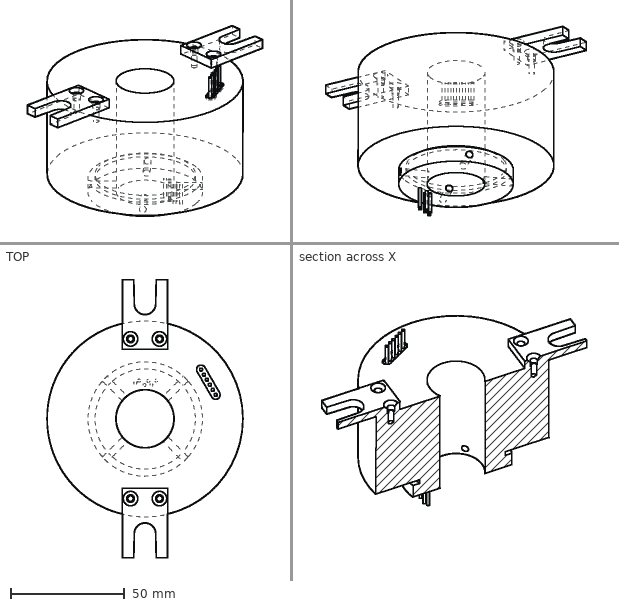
import cadquery as cq
import math

body_diameter = 86.0
body_height = 45.0
bore_diameter = 25.4

neck_diameter = 44.0
neck_height = 1.8
collar_diameter = 50.3
collar_height = 7.0
collar_bottom = -neck_height - collar_height
set_screw_diameter = 3.0
set_screw_count = 4
first_set_screw_angle = 45

overall_length = 122.0
plate_width = 19.8
plate_length = 30.5
plate_thickness = 4.1
plate_end = overall_length / 2
plate_center = plate_end - plate_length / 2
fork_mouth_width = 9.8
fork_root_radius = 4.6
fork_depth = 15.2
fork_root_center = plate_end - fork_depth + fork_root_radius

screw_spacing = 12.7
screw_position = 35.0
countersink_diameter = 6.3
countersink_angle = 90
clearance_diameter = 3.3
tapped_diameter = 2.5
tapped_depth = 6.1
drill_tip_angle = 118

pin_diameter = 1.3
pin_length = 9.0

upper_pin_count = 6
upper_pin_pitch = 2.6
upper_row_radius = 32.1
upper_row_angle = 30
recess_width = 3.9
recess_depth = 1.0

lower_pin_places = [(-4.4, 15.9), (-2.7, 16.8), (-0.4, 14.9), (1.3, 16.7), (2.7, 14.9), (4.9, 16.8)]


def cylinder(diameter, bottom, height):
    """Upright cylinder on the Z axis."""
    return cq.Workplane("XY").workplane(offset=bottom).circle(diameter / 2).extrude(height)


def drum():
    """Body, neck and collar with the bore through all of them."""
    turned = cylinder(body_diameter, 0, body_height)
    turned = turned.union(cylinder(neck_diameter, -neck_height, neck_height))
    turned = turned.union(cylinder(collar_diameter, collar_bottom, collar_height))
    return turned.cut(cylinder(bore_diameter, collar_bottom, body_height - collar_bottom))


def set_screw_holes():
    """Radial holes from the collar rim into the bore."""
    hole = (
        cq.Workplane("YZ")
        .center(0, collar_bottom + collar_height / 2)
        .circle(set_screw_diameter / 2)
        .extrude(collar_diameter / 2)
    )
    holes = cq.Workplane("XY")
    for index in range(set_screw_count):
        angle = first_set_screw_angle + index * 360 / set_screw_count
        holes = holes.add(hole.rotate((0, 0, 0), (0, 0, 1), angle))
    return holes.combine()


def fork_plate():
    """Plate at the +Y end, with a slightly flared fork slot open outwards."""
    plate = (
        cq.Workplane("XY")
        .workplane(offset=body_height)
        .center(0, plate_center)
        .rect(plate_width, plate_length)
        .extrude(plate_thickness)
    )
    slot = (
        cq.Workplane("XY")
        .workplane(offset=body_height)
        .moveTo(-fork_mouth_width / 2, plate_end)
        .lineTo(-fork_root_radius, fork_root_center)
        .threePointArc((0, plate_end - fork_depth), (fork_root_radius, fork_root_center))
        .lineTo(fork_mouth_width / 2, plate_end)
        .close()
        .extrude(plate_thickness)
    )
    return plate.cut(slot)


def plate_screw_hole():
    """Countersink, clearance hole and pointed tapped hole, turned about the Z axis."""
    countersink_radius = countersink_diameter / 2
    clearance_radius = clearance_diameter / 2
    tapped_radius = tapped_diameter / 2
    plate_top = body_height + plate_thickness
    sink_depth = (countersink_radius - clearance_radius) / math.tan(math.radians(countersink_angle / 2))
    tip_depth = tapped_radius / math.tan(math.radians(drill_tip_angle / 2))
    tapped_bottom = body_height - tapped_depth
    return (
        cq.Workplane("XZ")
        .moveTo(0, plate_top)
        .lineTo(countersink_radius, plate_top)
        .lineTo(clearance_radius, plate_top - sink_depth)
        .lineTo(clearance_radius, body_height)
        .lineTo(tapped_radius, body_height)
        .lineTo(tapped_radius, tapped_bottom)
        .lineTo(0, tapped_bottom - tip_depth)
        .close()
        .revolve(360, (0, 0, 0), (0, 1, 0))
    )


def upper_row_plane(height):
    """Plane centred on the upper pin row, with local X outwards and local Y along the row."""
    return (
        cq.Workplane("XY")
        .workplane(offset=height)
        .transformed(rotate=(0, 0, upper_row_angle))
        .center(upper_row_radius, 0)
    )


def upper_pin_recess():
    """Obround recess around the upper pin row."""
    recess_length = (upper_pin_count - 1) * upper_pin_pitch + recess_width
    floor = upper_row_plane(body_height - recess_depth)
    return floor.slot2D(recess_length, recess_width, 90).extrude(recess_depth)


def upper_pins():
    """Pins rising from the recess floor."""
    floor = upper_row_plane(body_height - recess_depth)
    row = floor.rarray(1.2, upper_pin_pitch, 1, upper_pin_count)
    return row.circle(pin_diameter / 2).extrude(recess_depth + pin_length)


def lower_pins():
    """Pins hanging from the underside of the collar."""
    underside = cq.Workplane("XY").workplane(offset=collar_bottom)
    return underside.pushPoints(lower_pin_places).circle(pin_diameter / 2).extrude(-pin_length)


result = drum().cut(set_screw_holes())

plate = fork_plate()
result = result.union(plate).union(plate.mirror("XZ"))

screw_hole = plate_screw_hole()
for x in (-screw_spacing / 2, screw_spacing / 2):
    for y in (-screw_position, screw_position):
        result = result.cut(screw_hole.translate((x, y, 0)))

result = result.cut(upper_pin_recess())
result = result.union(upper_pins()).union(lower_pins())